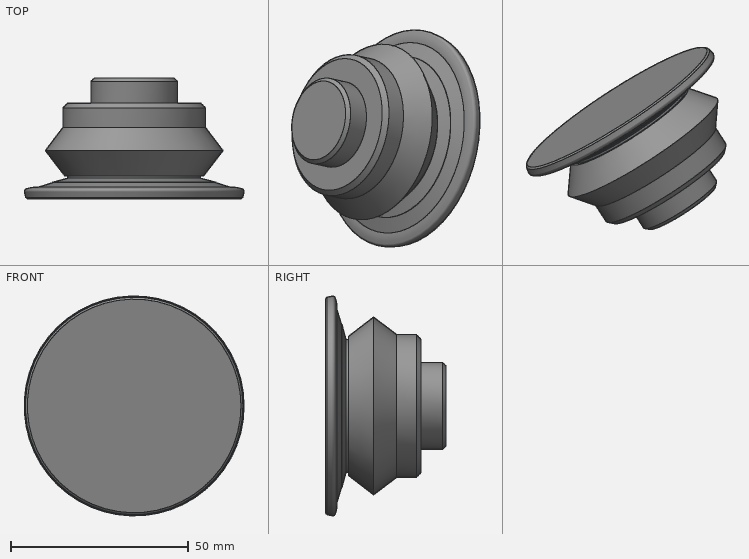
import cadquery as cq


face_radius = 30.1
lip_edge_radius = 30.65
lip_edge_y = 0.45
lip_radius = 31.0
lip_side_y = 2.0
lip_crown_radius = 30.3
lip_crown_y = 2.9
lip_round_mid_radius = 30.85
lip_round_mid_y = 2.55
lip_back_mid_radius = 29.0
lip_back_mid_y = 3.23
lip_back_y = 3.3
lip_back_radius = 27.2

skirt_step_front_y = 4.6
skirt_step_back_y = 4.72
skirt_step_radius = 23.0

neck_radius = 37.5 / 2
neck_front_y = 5.85
neck_back_y = 6.5

fold_front_radius = 19.6
fold_radius = 50.13 / 2
fold_y = 13.6

body_radius = 40.3 / 2
body_front_y = 20.1
body_back_y = 27.0
body_chamfer = 1.35

spigot_radius = 24.5 / 2
overall_length = 34.08
spigot_chamfer = 1.0


def cup_profile():
    """Closed half section: X is the radius, Y runs along the axis."""
    return (
        cq.Workplane("XY")
        .moveTo(0, 0)
        .lineTo(face_radius, 0)
        .lineTo(lip_edge_radius, lip_edge_y)
        .lineTo(lip_radius, lip_side_y)
        .threePointArc(
            (lip_round_mid_radius, lip_round_mid_y),
            (lip_crown_radius, lip_crown_y),
        )
        .threePointArc(
            (lip_back_mid_radius, lip_back_mid_y),
            (lip_back_radius, lip_back_y),
        )
        .lineTo(skirt_step_radius, skirt_step_front_y)
        .lineTo(skirt_step_radius, skirt_step_back_y)
        .lineTo(neck_radius, neck_front_y)
        .lineTo(neck_radius, neck_back_y)
        .lineTo(fold_front_radius, neck_back_y)
        .lineTo(fold_radius, fold_y)
        .lineTo(body_radius, body_front_y)
        .lineTo(body_radius, body_back_y - body_chamfer)
        .lineTo(body_radius - body_chamfer, body_back_y)
        .lineTo(spigot_radius, body_back_y)
        .lineTo(spigot_radius, overall_length - spigot_chamfer)
        .lineTo(spigot_radius - spigot_chamfer, overall_length)
        .lineTo(0, overall_length)
        .close()
    )


result = cup_profile().revolve(360, (0, 0, 0), (0, 1, 0))